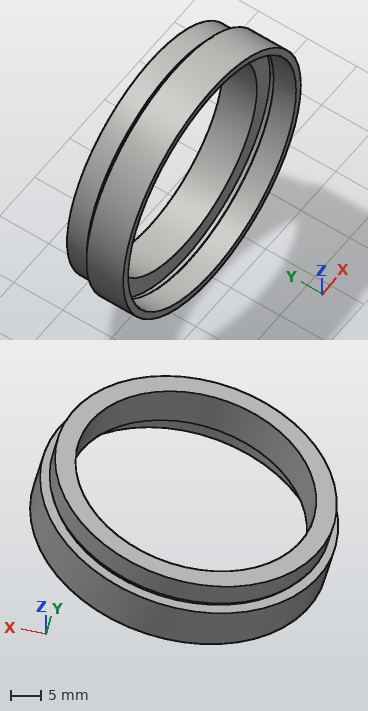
import cadquery as cq

width = 12.5
collar_diameter = 50.8
collar_width = 7.5
spigot_diameter = 48.0
groove_diameter = 47.0
groove_width = 0.9
bore_diameter = 41.0
socket_diameter = 48.0
socket_depth = 5.5
relief_diameter = 48.5
relief_width = 0.9

front = -width / 2
back = width / 2


def disc(diameter, start, end):
    """Solid cylinder along Y between two Y positions."""
    plane = cq.Workplane("XZ", origin=(0, start, 0))
    return plane.circle(diameter / 2).extrude(start - end)


collar_back = front + collar_width
groove_back = collar_back + groove_width

body = disc(collar_diameter, front, collar_back)
body = body.union(disc(groove_diameter, collar_back, groove_back))
body = body.union(disc(spigot_diameter, groove_back, back))

socket_floor = front + socket_depth
body = body.cut(disc(bore_diameter, front, back))
body = body.cut(disc(socket_diameter, front, socket_floor))
result = body.cut(disc(relief_diameter, socket_floor - relief_width, socket_floor))